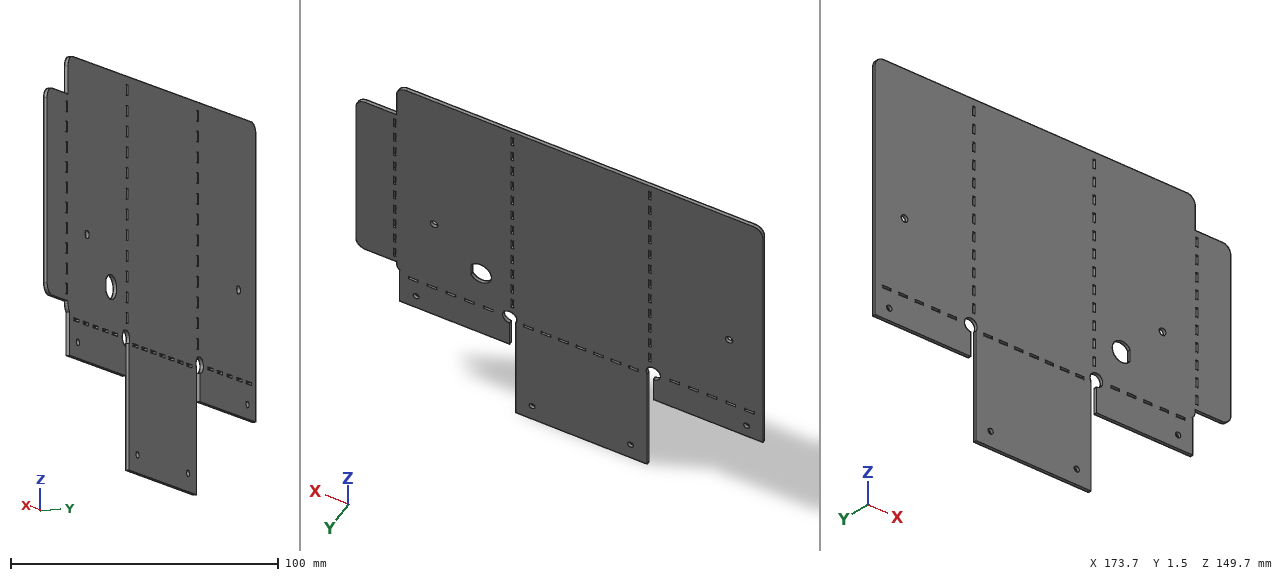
import cadquery as cq

LENGTH = 173.7
HEIGHT = 149.7
THICKNESS = 1.5
CORNER_RADIUS = 4.2

FOLD_WIDTH = 2.6
LEFT_PANEL_WIDTH = 46.7
CENTRE_PANEL_WIDTH = 56.1
CENTRE_LEFT = LEFT_PANEL_WIDTH + FOLD_WIDTH
CENTRE_RIGHT = CENTRE_LEFT + CENTRE_PANEL_WIDTH
RIGHT_PANEL_LEFT = CENTRE_RIGHT + FOLD_WIDTH
PANELS_RIGHT = 156.3
PANELS_BOTTOM = 50.9

LEFT_FLANGE_BOTTOM = 36.0
RIGHT_FLANGE_BOTTOM = 35.5
RIGHT_FLANGE_RIGHT = 155.1
RIGHT_FLANGE_TOP = 52.0

TAB_BOTTOM = 56.0
TAB_TOP = 134.8

RELIEF_DIAMETER = 6.0
RELIEF_Z = 49.9

SLOT_LENGTH = 4.0
SLOT_WIDTH = 1.0
PANEL_SLOT_OFFSET = 1.5
PANEL_SLOT_COUNT = 12
PANEL_SLOTS_Z = (57.7, 144.5)
TAB_SLOT_OFFSET = 0.9
TAB_SLOT_X = PANELS_RIGHT + TAB_SLOT_OFFSET
TAB_SLOT_COUNT = 10
TAB_SLOTS_Z = (60.5, 130.0)
SIDE_SLOT_Z = 49.9
SIDE_SLOT_COUNT = 5
LEFT_SLOTS_X = (5.7, 37.7)
RIGHT_SLOTS_X = (117.3, 149.2)
CENTRE_SLOT_Z = 48.3
CENTRE_SLOT_COUNT = 7
CENTRE_SLOTS_X = (55.2, 100.0)

PANEL_HOLE_DIAMETER = 3.1
PANEL_HOLE_Z = 83.9
PANEL_HOLE_XS = (14.5, 140.4)
FLANGE_HOLE_DIAMETER = 2.5
FLANGE_HOLES = ((7.0, 41.5), (148.0, 41.5), (56.5, 7.0), (98.5, 7.0))

D_HOLE_X = 120.5
D_HOLE_Z = 67.2
D_HOLE_RADIUS = 4.7
D_HOLE_FLAT_DISTANCE = 4.0


def plate(left, right, bottom, top):
    """Full-thickness rectangle given by its X and Z limits."""
    sheet = cq.Workplane("XY").box(right - left, THICKNESS, top - bottom, centered=False)
    return sheet.translate((left, 0, bottom))


def hole(x, z, diameter):
    """Cutter for a round hole through the sheet."""
    return cq.Workplane("XZ").center(x, z).circle(diameter / 2).extrude(-THICKNESS)


def slot_row(ends, count, across, upright):
    """Cutters for evenly spaced slots between two end centres, running along Z if upright, else along X."""
    first, last = ends
    pitch = (last - first) / (count - 1)
    length_x = SLOT_WIDTH if upright else SLOT_LENGTH
    length_z = SLOT_LENGTH if upright else SLOT_WIDTH
    positions = [first + i * pitch for i in range(count)]
    centres = [(across, along) if upright else (along, across) for along in positions]
    return cq.Workplane("XZ").pushPoints(centres).rect(length_x, length_z).extrude(-THICKNESS)


panels = plate(0, PANELS_RIGHT, PANELS_BOTTOM, HEIGHT)
panels = panels.edges("|Y and (>Z or >X)").fillet(CORNER_RADIUS)
tab = plate(PANELS_RIGHT, LENGTH, TAB_BOTTOM, TAB_TOP).edges("|Y and >X").fillet(CORNER_RADIUS)
left_flange = plate(0, LEFT_PANEL_WIDTH, LEFT_FLANGE_BOTTOM, PANELS_BOTTOM)
centre_flange = plate(CENTRE_LEFT, CENTRE_RIGHT, 0, PANELS_BOTTOM)
right_flange = plate(RIGHT_PANEL_LEFT, RIGHT_FLANGE_RIGHT, RIGHT_FLANGE_BOTTOM, RIGHT_FLANGE_TOP)
body = panels.union(tab).union(left_flange).union(centre_flange).union(right_flange)

for relief_x in (LEFT_PANEL_WIDTH, RIGHT_PANEL_LEFT):
    body = body.cut(hole(relief_x, RELIEF_Z, RELIEF_DIAMETER))

for fold_left in (LEFT_PANEL_WIDTH, CENTRE_RIGHT):
    slot_x = fold_left + PANEL_SLOT_OFFSET
    body = body.cut(slot_row(PANEL_SLOTS_Z, PANEL_SLOT_COUNT, slot_x, True))
body = body.cut(slot_row(TAB_SLOTS_Z, TAB_SLOT_COUNT, TAB_SLOT_X, True))
for side_slots_x in (LEFT_SLOTS_X, RIGHT_SLOTS_X):
    body = body.cut(slot_row(side_slots_x, SIDE_SLOT_COUNT, SIDE_SLOT_Z, False))
body = body.cut(slot_row(CENTRE_SLOTS_X, CENTRE_SLOT_COUNT, CENTRE_SLOT_Z, False))

for panel_hole_x in PANEL_HOLE_XS:
    body = body.cut(hole(panel_hole_x, PANEL_HOLE_Z, PANEL_HOLE_DIAMETER))
for flange_hole_x, flange_hole_z in FLANGE_HOLES:
    body = body.cut(hole(flange_hole_x, flange_hole_z, FLANGE_HOLE_DIAMETER))

d_flat_x = D_HOLE_X + D_HOLE_FLAT_DISTANCE
d_trim = plate(d_flat_x, D_HOLE_X + D_HOLE_RADIUS, D_HOLE_Z - D_HOLE_RADIUS, D_HOLE_Z + D_HOLE_RADIUS)
d_hole = hole(D_HOLE_X, D_HOLE_Z, 2 * D_HOLE_RADIUS).cut(d_trim)

result = body.cut(d_hole)